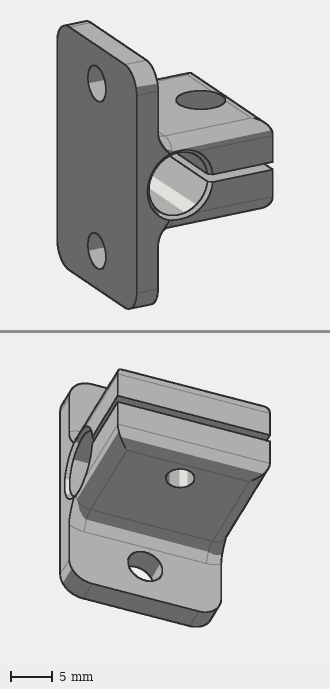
import cadquery as cq

width = 20.0
plate_height = 32
plate_thickness = 3.0
plate_corner_radius = 3.0
mount_hole_diameter = 4.5
mount_hole_spacing = 22.0

total_depth = 19.0
block_height = 12.0
edge_radius = 2.0
root_radius = 2.0

bore_diameter = 8.2
bore_chamfer = 0.48
bore_y = 6.08
slit_height = 1.0

screw_back_distance = 4.5
screw_y = total_depth - screw_back_distance
screw_diameter = 3.5
screw_head_diameter = 6.0
screw_head_depth = 3.0


def box_from_y(size_x, depth, size_z, start_y=0):
    """Box centred on X and Z, with its front face at start_y."""
    return cq.Workplane("XY").box(size_x, depth, size_z).translate((0, start_y + depth / 2, 0))


def make_block():
    """Block whose side and back roundings meet in mitred corners."""
    side_rounded = box_from_y(width, total_depth, block_height).edges("|Y").fillet(edge_radius)
    back_rounded = box_from_y(width, total_depth, block_height).edges("|X and >Y").fillet(edge_radius)
    return side_rounded.intersect(back_rounded)


def make_flared_block():
    """Block on an oversized base, root filleted all round, then trimmed to the plate width."""
    base = box_from_y(2 * width, plate_thickness, plate_height)
    flared = base.union(make_block())
    margin = 0.32
    root_zone = cq.selectors.BoxSelector(
        (-width / 2 - margin, plate_thickness - margin, -block_height / 2 - margin),
        (width / 2 + margin, plate_thickness + margin, block_height / 2 + margin),
        boundingbox=True,
    )
    flared = flared.edges(root_zone).fillet(root_radius)
    behind_plate = box_from_y(width, total_depth - plate_thickness, plate_height, plate_thickness)
    return flared.intersect(behind_plate)


def make_plate():
    plate = box_from_y(width, plate_thickness, plate_height).edges("|Y").fillet(plate_corner_radius)
    return (
        plate.faces("<Y").workplane(origin=(0, 0, 0))
        .rarray(0.32, mount_hole_spacing, 1, 2)
        .hole(mount_hole_diameter)
    )


def make_bore():
    """Bore cutter, flared at both ends to leave chamfered rims."""
    bore_radius = bore_diameter / 2
    rim_radius = bore_radius + bore_chamfer
    half_width = width / 2
    profile = [
        (-half_width, 0),
        (-half_width, rim_radius),
        (-half_width + bore_chamfer, bore_radius),
        (half_width - bore_chamfer, bore_radius),
        (half_width, rim_radius),
        (half_width, 0),
    ]
    cutter = cq.Workplane("XY").polyline(profile).close().revolve(360, (0, 0, 0), (1, 0, 0))
    return cutter.translate((0, bore_y, 0))


def make_screw_hole():
    """Through hole with a counterbore from the top of the block."""
    shank = cq.Workplane("XY").circle(screw_diameter / 2).extrude(block_height / 2, both=True)
    head = (
        cq.Workplane("XY", origin=(0, 0, block_height / 2 - screw_head_depth))
        .circle(screw_head_diameter / 2)
        .extrude(screw_head_depth)
    )
    return shank.union(head).translate((0, screw_y, 0))


slit = box_from_y(width, total_depth - bore_y, slit_height, bore_y)

result = make_plate().union(make_flared_block())
result = result.cut(make_bore()).cut(slit).cut(make_screw_hole())